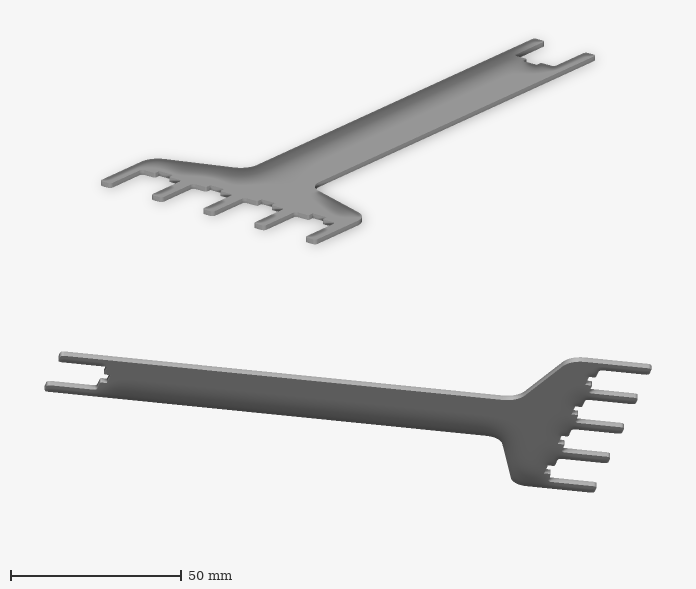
import cadquery as cq

length = 171.5
thickness = 1.5
tooth_width = 4.1
slot_width = 15.0
slot_depth = 15.0
notch_width = 5.1
notch_depth = 2.0
slot_count = 4

shoulder_low = 24.5
shoulder_high = 34.3
shoulder_radius = 6.0
tip_radius = 1.0
slot_corner_radius = 1.0
notch_mouth_radius = 0.5

pitch = slot_width + tooth_width
head_half = (slot_count * pitch + tooth_width) / 2
handle_half = (pitch + tooth_width) / 2
bottom = -length / 2
top = length / 2


def vertical_edges_between(body, y_min, y_max, x_min=-length, x_max=length):
    """Select the through-thickness edges within a band of Y and, optionally, of X."""
    box = cq.selectors.BoxSelector(
        (x_min, y_min, -thickness), (x_max, y_max, 2 * thickness)
    )
    return body.edges("|Z").edges(box)


def slot_cutter(x, end_y, inward):
    """Notched slot entering from the plate end at end_y; inward is +1 or -1 along Y."""
    half_slot = slot_width / 2
    half_notch = notch_width / 2
    floor_y = end_y + inward * slot_depth
    notch_y = floor_y + inward * notch_depth
    cutter = (
        cq.Workplane("XY")
        .polyline([
            (x - half_slot, end_y),
            (x - half_slot, floor_y),
            (x - half_notch, floor_y),
            (x - half_notch, notch_y),
            (x + half_notch, notch_y),
            (x + half_notch, floor_y),
            (x + half_slot, floor_y),
            (x + half_slot, end_y),
        ])
        .close()
        .extrude(thickness)
    )
    floor_band = (floor_y - slot_corner_radius, floor_y + slot_corner_radius)
    mouth_edges = vertical_edges_between(cutter, *floor_band, x - slot_width / 4, x + slot_width / 4)
    cutter = mouth_edges.fillet(notch_mouth_radius)
    for side in (-1, 1):
        corner_x = x + side * half_slot
        corner = vertical_edges_between(
            cutter, *floor_band, corner_x - slot_corner_radius, corner_x + slot_corner_radius
        )
        cutter = corner.fillet(slot_corner_radius)
    return cutter


plate = (
    cq.Workplane("XY")
    .polyline([
        (-head_half, bottom),
        (head_half, bottom),
        (head_half, bottom + shoulder_low),
        (handle_half, bottom + shoulder_high),
        (handle_half, top),
        (-handle_half, top),
        (-handle_half, bottom + shoulder_high),
        (-head_half, bottom + shoulder_low),
    ])
    .close()
    .extrude(thickness)
)
plate = vertical_edges_between(plate, bottom + tip_radius, top - tip_radius).fillet(shoulder_radius)

for index in range(slot_count):
    slot_x = (index - (slot_count - 1) / 2) * pitch
    plate = plate.cut(slot_cutter(slot_x, bottom, 1))
plate = plate.cut(slot_cutter(0, top, -1))

for end_y in (bottom, top):
    plate = vertical_edges_between(plate, end_y - tip_radius, end_y + tip_radius).fillet(tip_radius)

result = plate